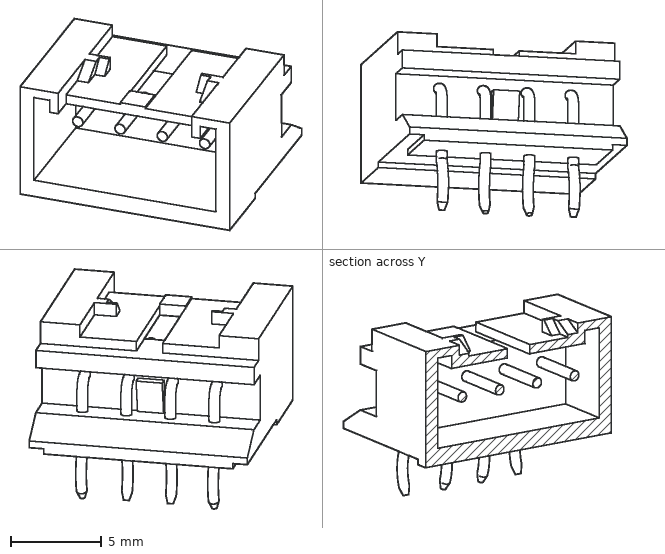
import cadquery as cq
import math

WIDTH = 12.4
DEPTH = 11.5
HEIGHT = 6.73
HALF_WIDTH = WIDTH / 2

REAR_FACE_Y = 8.25
TOP_REAR_Y = 8.65
TAB_REAR_Y = 9.8
TAB_BOTTOM = 4.43
TAB_TOP = 5.45
FOOT_TOP = 1.78
FOOT_REAR_HEIGHT = 0.71
FOOT_SLOPE_Y = 9.82

STANDOFF_HEIGHT = 0.31
FRONT_STANDOFF_Y = 4.1
REAR_STANDOFF_Y = 7.6

SIDE_WALL = 0.825
FLOOR = 1.02
CAVITY_REAR_Y = 6.64
CAVITY_TOP = TAB_TOP
CORNER_TOP = 6.2
CORNER_WIDTH = 0.92

DECK_TOP = 6.01
DECK_FRONT_Y = 1.27
DECK_HALF_WIDTH = 3.95

SLOT_WIDTH = 1.48
BRIDGE_REAR_Y = 2.8
BRIDGE_TOP = 6.11

OUTER_RAMP_WIDTH = 0.66
INNER_RAMP_WIDTH = 0.58
LATCH_REAR_Y = 5.0
OUTER_RAMP_Y = (3.05, 4.29)
INNER_RAMP_Y = (4.07, 4.8)

RIB_TOP = 3.7
RIB_BOTTOM_DEPTH = 0.13
RIB_TOP_DEPTH = 0.5

PIN_COUNT = 4
PIN_PITCH = 2.5
PIN_RADIUS = 0.3
PIN_AXIS_Z = 3.7
PIN_FRONT_Y = 2.6
BEND_RADIUS = 0.68
PIN_TAIL_Y = REAR_FACE_Y + BEND_RADIUS
BOW_START_Z = -0.51
BOW_MID_Z = -1.86
BOW_END_Z = -2.87
BOW_OFFSET = 0.35
BOW_END_OFFSET = 0.165
TIP_LENGTH = 0.48
TIP_RADIUS = 0.16


def box(x_range, y_range, z_range):
    """Box spanning the given (low, high) ranges."""
    (x0, x1), (y0, y1), (z0, z1) = x_range, y_range, z_range
    return cq.Workplane("XY").box(x1 - x0, y1 - y0, z1 - z0, centered=False).translate((x0, y0, z0))


def side_prism(points, x0, x1):
    """Extrude a (Y, Z) outline from x0 to x1."""
    return cq.Workplane("YZ").polyline(points).close().extrude(x1 - x0).translate((x0, 0, 0))


def make_shell():
    """Side outline of the housing across the full width, with the inset rear standoff."""
    outline = [
        (0, 0),
        (FRONT_STANDOFF_Y, 0),
        (FRONT_STANDOFF_Y, STANDOFF_HEIGHT),
        (DEPTH, STANDOFF_HEIGHT),
        (DEPTH, FOOT_REAR_HEIGHT),
        (FOOT_SLOPE_Y, FOOT_TOP),
        (REAR_FACE_Y, FOOT_TOP),
        (REAR_FACE_Y, TAB_BOTTOM),
        (TAB_REAR_Y, TAB_BOTTOM),
        (TAB_REAR_Y, TAB_TOP),
        (TOP_REAR_Y, TAB_TOP),
        (TOP_REAR_Y, HEIGHT),
        (0, HEIGHT),
    ]
    standoff_x = HALF_WIDTH - SIDE_WALL
    standoff = box((-standoff_x, standoff_x), (REAR_STANDOFF_Y, DEPTH), (0, STANDOFF_HEIGHT))
    return side_prism(outline, -HALF_WIDTH, HALF_WIDTH).union(standoff)


def make_cavity():
    """Mating cavity with a taller channel along each side wall."""
    half = HALF_WIDTH - SIDE_WALL
    depth = (0, CAVITY_REAR_Y)
    cavity = box((-half, half), depth, (FLOOR, CAVITY_TOP))
    for x0 in (-half, half - CORNER_WIDTH):
        cavity = cavity.union(box((x0, x0 + CORNER_WIDTH), depth, (FLOOR, CORNER_TOP)))
    return cavity


def make_top_opening():
    """Space above the deck, in front of the deck and inside the key slot."""
    deck_x = (-DECK_HALF_WIDTH, DECK_HALF_WIDTH)
    slot_x = (-SLOT_WIDTH / 2, SLOT_WIDTH / 2)
    above_deck = box(deck_x, (0, TOP_REAR_Y), (DECK_TOP, HEIGHT))
    front_gap = box(deck_x, (0, DECK_FRONT_Y), (CAVITY_TOP, HEIGHT))
    slot = box(slot_x, (BRIDGE_REAR_Y, TOP_REAR_Y), (TAB_TOP, HEIGHT))
    return above_deck.union(front_gap).union(slot)


def make_bridge():
    """Raised strip that closes the front of the key slot."""
    half = SLOT_WIDTH / 2
    return box((-half, half), (DECK_FRONT_Y, BRIDGE_REAR_Y), (CAVITY_TOP, BRIDGE_TOP))


def make_latch():
    """Stepped pair of latch ramps on the rail at -X."""

    def ramp(ramp_y, x0, width):
        front_y, crest_y = ramp_y
        outline = [
            (front_y, DECK_TOP),
            (LATCH_REAR_Y, DECK_TOP),
            (LATCH_REAR_Y, HEIGHT),
            (crest_y, HEIGHT),
        ]
        return side_prism(outline, x0, x0 + width)

    outer = ramp(OUTER_RAMP_Y, -DECK_HALF_WIDTH, OUTER_RAMP_WIDTH)
    inner = ramp(INNER_RAMP_Y, OUTER_RAMP_WIDTH - DECK_HALF_WIDTH, INNER_RAMP_WIDTH)
    return outer.union(inner)


def make_rear_rib():
    """Central rib on the rear face, thicker towards its top."""
    outline = [
        (REAR_FACE_Y, FOOT_TOP),
        (REAR_FACE_Y + RIB_BOTTOM_DEPTH, FOOT_TOP),
        (REAR_FACE_Y + RIB_TOP_DEPTH, RIB_TOP),
        (REAR_FACE_Y, RIB_TOP),
    ]
    return side_prism(outline, -SLOT_WIDTH / 2, SLOT_WIDTH / 2)


def make_pin(bow_side):
    """Right-angle pin at X = 0; its tail bows towards +Y (1) or -Y (-1)."""
    bend_z = PIN_AXIS_Z - BEND_RADIUS
    diagonal = BEND_RADIUS * math.sqrt(0.5)
    body_path = (
        cq.Workplane("YZ")
        .moveTo(PIN_FRONT_Y, PIN_AXIS_Z)
        .lineTo(REAR_FACE_Y, PIN_AXIS_Z)
        .threePointArc((REAR_FACE_Y + diagonal, bend_z + diagonal), (PIN_TAIL_Y, bend_z))
        .lineTo(PIN_TAIL_Y, BOW_START_Z)
    )
    body_start = cq.Workplane("XZ", origin=(0, PIN_FRONT_Y, PIN_AXIS_Z))
    body = body_start.circle(PIN_RADIUS).sweep(body_path)

    mid_y = PIN_TAIL_Y + bow_side * BOW_OFFSET
    end_y = PIN_TAIL_Y + bow_side * BOW_END_OFFSET
    bow_path = (
        cq.Workplane("YZ")
        .moveTo(PIN_TAIL_Y, BOW_START_Z)
        .threePointArc((mid_y, BOW_MID_Z), (end_y, BOW_END_Z))
    )
    bow_edge = bow_path.val()
    bow_plane = cq.Plane((0, PIN_TAIL_Y, BOW_START_Z), (1, 0, 0), bow_edge.tangentAt(0))
    bow = cq.Workplane(bow_plane).circle(PIN_RADIUS).sweep(bow_path)
    joint = cq.Workplane("XY").sphere(PIN_RADIUS).translate((0, PIN_TAIL_Y, BOW_START_Z))

    tip = cq.Workplane(
        cq.Solid.makeCone(
            PIN_RADIUS,
            TIP_RADIUS,
            TIP_LENGTH,
            cq.Vector(0, end_y, BOW_END_Z),
            bow_edge.tangentAt(1),
        )
    )
    return body.union(joint).union(bow).union(tip)


def make_connector():
    """Housing with its four pins; the two inner tails bow opposite to the two outer ones."""
    latch = make_latch()
    connector = make_shell().cut(make_cavity()).cut(make_top_opening())
    connector = connector.union(make_bridge()).union(latch).union(latch.mirror("YZ"))
    connector = connector.union(make_rear_rib())
    for index in range(PIN_COUNT):
        is_outer = index in (0, PIN_COUNT - 1)
        pin_x = (index - (PIN_COUNT - 1) / 2) * PIN_PITCH
        connector = connector.union(make_pin(1 if is_outer else -1).translate((pin_x, 0, 0)))
    return connector


result = make_connector()